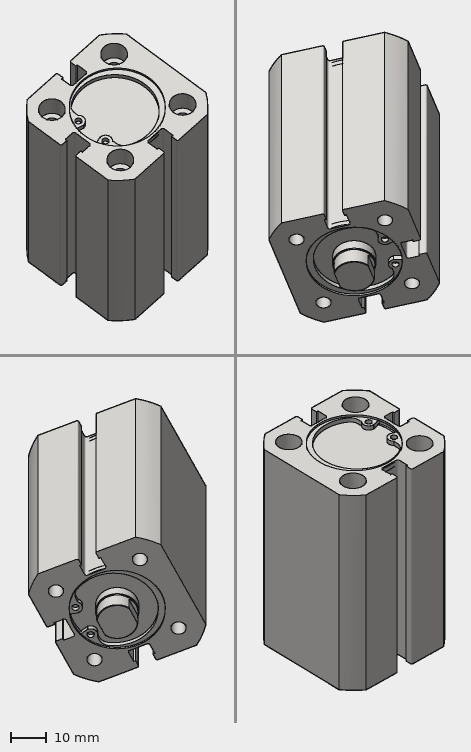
import cadquery as cq
import math

overall_length = 73.5
housing_width = 41.0
rod_projection = 6.0
housing_length = overall_length - rod_projection
half_width = housing_width / 2
corner_radius = 25.5

bore_radius = 13.5
ring_recess = 0.65
ring_thickness = 1.5
ring_bottoms = (ring_recess, housing_length - ring_recess - ring_thickness)

hole_spacing = 26.0
hole_diameter = 4.25
counterbore_diameter = 7.5
counterbore_depth = 7.0

slot_mouth = 5.4
slot_inner_width = 6.55
slot_lip_depth = 2.35
side_slot_depth = 6.25
front_slot_depth = 5.95
slot_mouth_round = 0.5
slot_floor_round = 0.6

groove_wall = 0.125
groove_radius = half_width - side_slot_depth - groove_wall

ring_opening_radius = 12.5
ring_opening_offset = bore_radius - ring_opening_radius
ring_shoulder_y = -9.2
ring_shoulder_round = 3.3
lug_x = 5.15
lug_y = -10.6
lug_radius = 2.0
lug_hole_diameter = 2.0

cover_thickness = 5.0
cover_offset = ring_recess + ring_thickness

rod_radius = 6.1
rod_tip_radius = 5.8
rod_shoulder_projection = 1.1
rod_shoulder_chamfer = 0.2
rod_tip_chamfer = 0.15
flat_spacing = 10.0
flat_length = 4.1
flat_runout = 0.7


def make_slot(depth, angle):
    """T-slot cutter for the -Y side, turned about the housing axis by the angle."""
    mouth = slot_mouth / 2
    inner = slot_inner_width / 2
    outside = -half_width
    lip = outside + slot_lip_depth
    floor = outside + depth
    r = slot_mouth_round
    f = slot_floor_round
    return (
        cq.Workplane("XY")
        .moveTo(-mouth - r, outside)
        .radiusArc((-mouth, outside + r), -r)
        .lineTo(-mouth, lip)
        .lineTo(-inner, lip)
        .lineTo(-inner, floor - f)
        .radiusArc((-inner + f, floor), f)
        .lineTo(inner - f, floor)
        .radiusArc((inner, floor - f), f)
        .lineTo(inner, lip)
        .lineTo(mouth, lip)
        .lineTo(mouth, outside + r)
        .radiusArc((mouth + r, outside), -r)
        .close()
        .extrude(housing_length)
        .rotate((0, 0, 0), (0, 0, 1), angle)
    )


def make_housing():
    """Square extrusion with bore, ring grooves, slots on three sides and four mounting holes."""
    block = cq.Workplane("XY").rect(housing_width, housing_width).extrude(housing_length)
    envelope = cq.Workplane("XY").circle(corner_radius).extrude(housing_length)
    body = block.intersect(envelope)
    body = body.cut(cq.Workplane("XY").circle(bore_radius).extrude(housing_length))

    for depth, angle in ((front_slot_depth, 0), (side_slot_depth, 90), (side_slot_depth, -90)):
        body = body.cut(make_slot(depth, angle))

    for groove_bottom in ring_bottoms:
        groove = cq.Workplane("XY", origin=(0, 0, groove_bottom)).circle(groove_radius)
        body = body.cut(groove.extrude(ring_thickness))

    return (
        body.faces(">Z")
        .workplane(origin=(0, 0, housing_length))
        .rect(hole_spacing, hole_spacing, forConstruction=True)
        .vertices()
        .cboreHole(hole_diameter, counterbore_diameter, counterbore_depth)
    )


def make_retaining_ring(bottom):
    """Open ring with an eccentric opening, two pierced lugs and a gap on the -Y side."""
    plane = cq.Workplane("XY", origin=(0, 0, bottom))
    lug_points = [(-lug_x, lug_y), (lug_x, lug_y)]

    opening_center_y = -ring_opening_offset
    opening = plane.center(0, opening_center_y).circle(ring_opening_radius).extrude(ring_thickness)
    above_shoulder = (
        plane.center(0, ring_shoulder_y + groove_radius)
        .rect(2 * groove_radius, 2 * groove_radius)
        .extrude(ring_thickness)
    )
    opening = opening.intersect(above_shoulder).edges("|Z").fillet(ring_shoulder_round)

    lug_angle = math.atan2(lug_x, -lug_y)
    gap_half_angle = lug_angle - math.asin(lug_radius / math.hypot(lug_x, lug_y))
    gap_y = -2 * groove_radius
    gap_x = -gap_y * math.tan(gap_half_angle)
    gap = plane.polyline([(0, 0), (-gap_x, gap_y), (gap_x, gap_y)]).close().extrude(ring_thickness)

    clearance = (
        plane.center(0, (lug_y + ring_shoulder_y) / 2)
        .rect(2 * lug_x, ring_shoulder_y - lug_y)
        .extrude(ring_thickness)
    )

    lugs = plane.pushPoints(lug_points).circle(lug_radius).extrude(ring_thickness)
    lug_holes = plane.pushPoints(lug_points).circle(lug_hole_diameter / 2).extrude(ring_thickness)
    blank = plane.circle(groove_radius).extrude(ring_thickness)
    return blank.cut(opening).cut(clearance).union(lugs).cut(gap).cut(lug_holes)


def make_rear_cover():
    """Plain disc held by the upper ring."""
    top = housing_length - cover_offset
    plane = cq.Workplane("XY", origin=(0, 0, top - cover_thickness))
    return plane.circle(bore_radius).extrude(cover_thickness)


def make_rod_cover():
    """Disc held by the lower ring, with a hole that guides the rod."""
    plane = cq.Workplane("XY", origin=(0, 0, cover_offset))
    return plane.circle(bore_radius).circle(rod_radius).extrude(cover_thickness)


def make_rod():
    """Rod from the rear cover out through the rod cover, with a reduced tip and two wrench flats."""
    rod_top = housing_length - cover_offset - cover_thickness
    shaft = (
        cq.Workplane("XY", origin=(0, 0, -rod_shoulder_projection))
        .circle(rod_radius)
        .extrude(rod_top + rod_shoulder_projection)
        .faces("<Z")
        .chamfer(rod_shoulder_chamfer)
    )
    tip_length = rod_projection - rod_shoulder_projection
    tip = (
        cq.Workplane("XY", origin=(0, 0, -rod_projection))
        .circle(rod_tip_radius)
        .extrude(tip_length)
        .faces("<Z")
        .chamfer(rod_tip_chamfer)
    )

    flat_y = flat_spacing / 2
    flat_top = flat_length - rod_projection
    runout_y = flat_y + rod_tip_radius
    runout_top = flat_top + flat_runout * (runout_y - flat_y) / (rod_tip_radius - flat_y)
    flat_profile = [
        (flat_y, -rod_projection),
        (flat_y, flat_top),
        (runout_y, runout_top),
        (runout_y, -rod_projection),
    ]
    cutter = cq.Workplane("YZ").polyline(flat_profile).close().extrude(rod_tip_radius, both=True)
    tip = tip.cut(cutter).cut(cutter.mirror("XZ"))
    return shaft.union(tip)


housing = make_housing()
rear_cover = make_rear_cover()
rod_cover = make_rod_cover()
rod = make_rod()
retaining_rings = [make_retaining_ring(bottom).val() for bottom in ring_bottoms]

result = cq.Compound.makeCompound(
    [housing.val(), rear_cover.val(), rod_cover.val(), rod.val(), *retaining_rings]
)